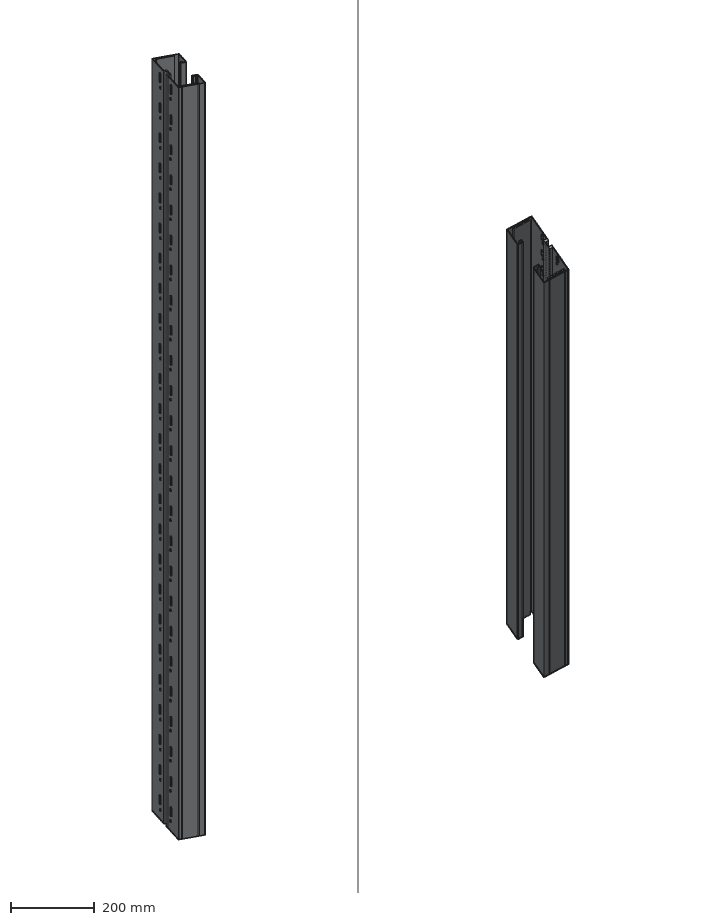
import cadquery as cq

LENGTH = 2000.0
WIDTH = 170.0
DEPTH = 70.0
SHEET = 2.0

LIP_OPENING = 70.0
LIP_CHAMFER = 2.0
HOOK_DROP = 15.0
HOOK_WIDTH = 8.0
HOOK_RETURN = 8.0

GROOVE_WIDTH = 15.0
GROOVE_DEPTH = 8.0
RIB_WIDTH = 28.0

RAIL_HEIGHT = 45.0
RAIL_WIDTH = 5.0
RAIL_SHEET = 3.0
RAIL_BASE_GAP = 6.5

PITCH = 80.0
HOLE_GROUPS = 25
FIRST_SLOT_DEPTH = 28.0
HOLE_DROP = 25.0
SLOT_SPACING = 70.0
SLOT_WIDTH = 9.0
SLOT_STRAIGHT = 15.0
HOLE_SPACING = 65.0
HOLE_DIAMETER = 6.5

HALF_WIDTH = WIDTH / 2
FRONT_Y = -DEPTH / 2
BACK_Y = DEPTH / 2
WALL_INNER_X = HALF_WIDTH - SHEET
BASE_INNER_Y = FRONT_Y + SHEET


def extrude_outline(points):
    """Extrude a closed X-Y outline over the whole length, centred on Z = 0."""
    return cq.Workplane("XY").workplane(offset=-LENGTH / 2).polyline(points).close().extrude(LENGTH)


def mirror_x(points):
    """Mirror points about X = 0."""
    return [(-x, y) for x, y in points]


def make_profile():
    """Thin C-section with a ribbed base and hooked lips."""
    lip_x = LIP_OPENING / 2
    hook_x = lip_x + HOOK_WIDTH
    hook_y = BACK_Y - HOOK_DROP
    outer_half = [
        (GROOVE_WIDTH / 2, FRONT_Y + GROOVE_DEPTH),
        (GROOVE_WIDTH / 2, FRONT_Y),
        (HALF_WIDTH, FRONT_Y),
        (HALF_WIDTH, BACK_Y),
        (lip_x + LIP_CHAMFER, BACK_Y),
        (lip_x, BACK_Y - LIP_CHAMFER),
        (lip_x, hook_y),
    ]
    inner_half = [
        (hook_x, hook_y),
        (hook_x, hook_y + HOOK_RETURN),
        (hook_x - SHEET, hook_y + HOOK_RETURN),
        (hook_x - SHEET, hook_y + SHEET),
        (lip_x + SHEET, hook_y + SHEET),
        (lip_x + SHEET, BACK_Y - SHEET),
        (WALL_INNER_X, BACK_Y - SHEET),
        (WALL_INNER_X, BASE_INNER_Y),
        (RIB_WIDTH / 2, BASE_INNER_Y),
        (RIB_WIDTH / 2, BASE_INNER_Y + GROOVE_DEPTH),
    ]
    half = outer_half + inner_half
    return extrude_outline(half + mirror_x(half)[::-1])


def make_perforation():
    """Cutters for the rows of slots and round holes on both sides of the rib."""
    slot_points = []
    hole_points = []
    for group in range(HOLE_GROUPS):
        slot_z = LENGTH / 2 - FIRST_SLOT_DEPTH - group * PITCH
        for side in (-1, 1):
            slot_points.append((side * SLOT_SPACING / 2, slot_z))
            hole_points.append((side * HOLE_SPACING / 2, slot_z - HOLE_DROP))
    plane = cq.Workplane("XZ", origin=(0, FRONT_Y, 0))
    slots = plane.pushPoints(slot_points).slot2D(SLOT_STRAIGHT + SLOT_WIDTH, SLOT_WIDTH, 90).extrude(-SHEET)
    holes = plane.pushPoints(hole_points).circle(HOLE_DIAMETER / 2).extrude(-SHEET)
    return slots.add(holes)


def make_housing():
    """Perforated trunking housing."""
    profile = make_profile().val()
    return cq.Workplane(profile.cut(*make_perforation().vals()))


def make_rail(side):
    """C-section rail whose open side lies against the wall on the given side (-1 or 1)."""
    web_x = WALL_INNER_X - RAIL_WIDTH
    bottom = BASE_INNER_Y + RAIL_BASE_GAP
    top = bottom + RAIL_HEIGHT
    outline = [
        (WALL_INNER_X, bottom),
        (web_x, bottom),
        (web_x, top),
        (WALL_INNER_X, top),
        (WALL_INNER_X, top - RAIL_SHEET),
        (web_x + RAIL_SHEET, top - RAIL_SHEET),
        (web_x + RAIL_SHEET, bottom + RAIL_SHEET),
        (WALL_INNER_X, bottom + RAIL_SHEET),
    ]
    return extrude_outline([(side * x, y) for x, y in outline])


housing = make_housing()
rails = [make_rail(side) for side in (-1, 1)]

result = cq.Compound.makeCompound([housing.val(), *[rail.val() for rail in rails]])